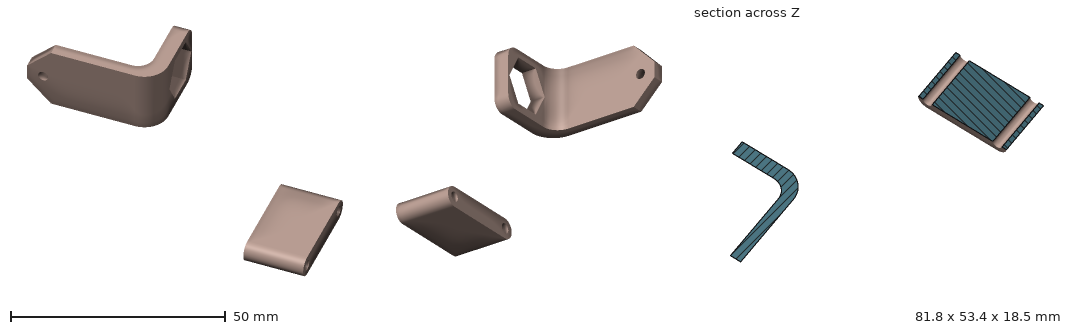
import cadquery as cq
import math

total_x = 81.8
total_y = 53.4
total_z = 18.5

pin_hole_diameter = 2.5

arm_length = 33.0
leg_length = 21.0
bracket_height = 16.0
arm_thickness = 3.0
leg_thickness = 4.0
bend_outer_radius = 6.0
bend_inner_radius = 4.0
tip_chamfer = 6.0
tip_hole_inset = 4.0
leg_corner_radius = 3.0
hex_across_flats = 12.0
hex_inset = 7.45

link_length = 15.0
link_thickness = 5.2
link_hole_spacing = 20.0

bracket_front_y = total_y - leg_length
bracket_bottom_z = total_z - bracket_height
bracket_middle_z = bracket_bottom_z + bracket_height / 2
link_start_x = total_x - link_length
link_width = link_hole_spacing + link_thickness


def bent_strip():
    """L-shaped strip with a rounded bend, before its ends are shaped."""
    back_y = bracket_front_y + arm_thickness
    inner_x = arm_length - leg_thickness
    strip = (
        cq.Workplane("XY", origin=(0, 0, bracket_bottom_z))
        .moveTo(0, bracket_front_y)
        .lineTo(arm_length, bracket_front_y)
        .lineTo(arm_length, total_y)
        .lineTo(inner_x, total_y)
        .lineTo(inner_x, back_y)
        .lineTo(0, back_y)
        .close()
        .extrude(bracket_height)
    )
    outer_corner = cq.NearestToPointSelector((arm_length, bracket_front_y, bracket_middle_z))
    inner_corner = cq.NearestToPointSelector((inner_x, back_y, bracket_middle_z))
    strip = strip.edges("|Z").edges(outer_corner).fillet(bend_outer_radius)
    return strip.edges("|Z").edges(inner_corner).fillet(bend_inner_radius)


def hexagon_cutter():
    """Hexagonal prism along X, with flats at top and bottom."""
    across_corners = hex_across_flats / math.cos(math.pi / 6)
    return (
        cq.Workplane("YZ", origin=(0, total_y - hex_inset, bracket_middle_z))
        .polygon(6, across_corners)
        .extrude(arm_length)
    )


def tip_hole_cutter():
    """Pin hole through the pointed end of the arm."""
    return (
        cq.Workplane("XZ", origin=(tip_hole_inset, bracket_front_y, bracket_middle_z))
        .circle(pin_hole_diameter / 2)
        .extrude(-arm_thickness)
    )


def make_bracket():
    bracket = bent_strip()
    bracket = bracket.faces("<X").edges("|Y").chamfer(tip_chamfer)
    bracket = bracket.faces(">Y").edges("|X").fillet(leg_corner_radius)
    return bracket.cut(hexagon_cutter()).cut(tip_hole_cutter())


def make_link():
    hole_places = [(-link_hole_spacing / 2, 0), (link_hole_spacing / 2, 0)]
    section = cq.Workplane("YZ", origin=(link_start_x, link_width / 2, link_thickness / 2))
    plate = section.slot2D(link_width, link_thickness).extrude(link_length)
    holes = section.pushPoints(hole_places).circle(pin_hole_diameter / 2).extrude(link_length)
    return plate.cut(holes)


bracket = make_bracket()
link = make_link()

result = cq.Compound.makeCompound([bracket.solids().val(), link.solids().val()])